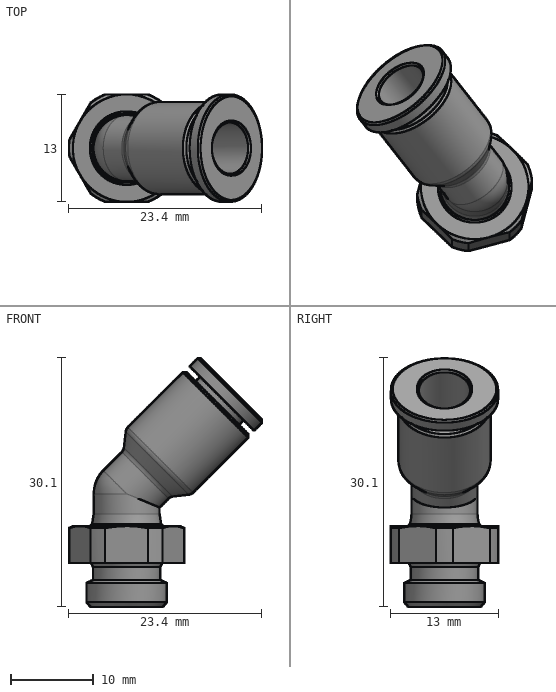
import cadquery as cq
import math

thread_radius = 4.88
thread_height = 2.92
thread_end_radius = 4.35
thread_end_height = 0.6
neck_radius = 4.1
neck_bottom = 3.28
neck_top = 4.85
neck_flare_radius = 4.3
nut_bottom = 5.33
nut_height = 4.45
nut_across_flats = 13.0
nut_corner_diameter = 14.0
nut_chamfer_height = 0.25
collar_foot_radius = 4.45
collar_foot_height = 0.27
collar_radius = 4.18
collar_taper_height = 1.2

tube_radius = 4.0
bend_height = 13.7
bend_angle = 45.0

body_radius = 5.6
shoulder_start = 3.45
shoulder_end = 5.48
shoulder_inner_fillet = 0.85
shoulder_outer_fillet = 0.9
body_end = 15.5
body_chamfer = 0.3
sleeve_radius = 3.73
flange_start = 16.28
flange_end = 17.9
flange_half_width = nut_across_flats / 2
flange_half_depth = 5.5
flange_chamfer = 0.25
bore_radius = 3.1
bore_chamfer = 0.25
bore_floor = 5.78

nut_top = nut_bottom + nut_height
collar_bottom = nut_top + collar_foot_height
collar_top = collar_bottom + collar_taper_height


def make_stem():
    """Turned stem from the thread end up to the bend centre."""
    outline = [
        (0, 0),
        (thread_end_radius, 0),
        (thread_radius, thread_end_height),
        (thread_radius, thread_height),
        (neck_radius, neck_bottom),
        (neck_radius, neck_top),
        (neck_flare_radius, nut_bottom),
        (neck_flare_radius, nut_top),
        (collar_foot_radius, nut_top),
        (collar_radius, collar_bottom),
        (tube_radius, collar_top),
        (tube_radius, bend_height),
        (0, bend_height),
    ]
    return cq.Workplane("XZ").polyline(outline).close().revolve(360, (0, 0), (0, 1))


def make_nut():
    """Hexagon with turned corners and a shallow conical chamfer on top."""
    corner_radius = nut_corner_diameter / 2
    chamfer_width = corner_radius - nut_across_flats / 2
    hexagon = (
        cq.Workplane("XY", origin=(0, 0, nut_bottom))
        .polygon(6, nut_across_flats / math.cos(math.pi / 6))
        .extrude(nut_height)
    )
    turned_blank = (
        cq.Workplane("XY", origin=(0, 0, nut_bottom))
        .circle(corner_radius)
        .extrude(nut_height)
        .faces(">Z")
        .chamfer(nut_chamfer_height, chamfer_width)
    )
    return hexagon.intersect(turned_blank)


def circle_edge_at(distance):
    """Selector for the round edge centred at this distance along the axis."""
    return cq.selectors.NearestToPointSelector((0, 0, distance))


def make_branch():
    """Tube, shoulder and body with the oval release flange, standing along Z."""
    outline = [
        (0, 0),
        (tube_radius, 0),
        (tube_radius, shoulder_start),
        (body_radius, shoulder_end),
        (body_radius, body_end),
        (0, body_end),
    ]
    body = (
        cq.Workplane("XZ")
        .polyline(outline)
        .close()
        .revolve(360, (0, 0), (0, 1))
        .faces(">Z")
        .chamfer(body_chamfer)
        .edges(circle_edge_at(shoulder_start))
        .fillet(shoulder_inner_fillet)
        .edges(circle_edge_at(shoulder_end))
        .fillet(shoulder_outer_fillet)
    )
    sleeve = (
        cq.Workplane("XY", origin=(0, 0, body_end))
        .circle(sleeve_radius)
        .extrude(flange_start - body_end)
    )
    flange = (
        cq.Workplane("XY", origin=(0, 0, flange_start))
        .ellipse(flange_half_depth, flange_half_width)
        .extrude(flange_end - flange_start)
        .faces(">Z")
        .chamfer(flange_chamfer)
    )
    return body.union(sleeve).union(flange)


def make_bore():
    """Blind tube socket with a chamfered mouth, standing along Z."""
    outline = [
        (0, bore_floor),
        (bore_radius, bore_floor),
        (bore_radius, flange_end - bore_chamfer),
        (bore_radius + bore_chamfer, flange_end),
        (0, flange_end),
    ]
    return cq.Workplane("XZ").polyline(outline).close().revolve(360, (0, 0), (0, 1))


def tilt_to_branch(shape):
    """Tilt a standing shape toward +X and move it to the bend centre."""
    return shape.rotate((0, 0, 0), (0, 1, 0), bend_angle).translate((0, 0, bend_height))


elbow_ball = cq.Workplane("XY", origin=(0, 0, bend_height)).sphere(tube_radius)

result = (
    make_stem()
    .union(make_nut())
    .union(elbow_ball)
    .union(tilt_to_branch(make_branch()))
    .cut(tilt_to_branch(make_bore()))
)